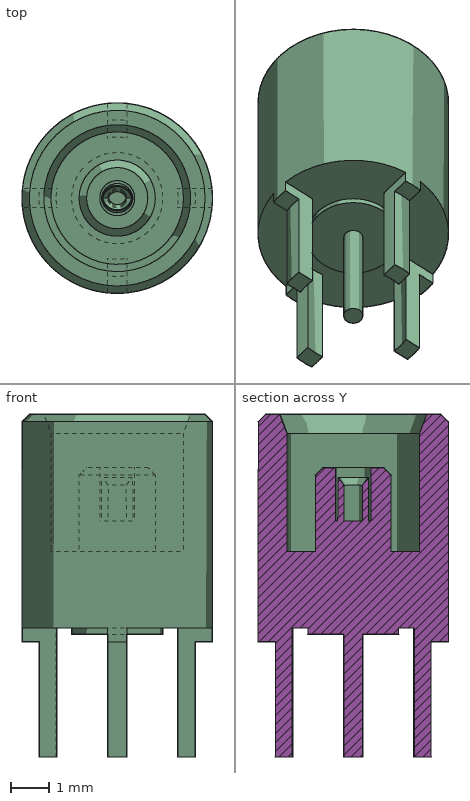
import cadquery as cq


TOTAL_HEIGHT = 9.0
SHELL_RADIUS = 2.5
SHELL_HEIGHT = 5.62
RIM_CHAMFER = 0.2
SHELL_BOTTOM = TOTAL_HEIGHT - SHELL_HEIGHT

ENTRY_RADIUS = 1.93
ENTRY_DEPTH = 0.5
BORE_RADIUS = 1.74
BORE_DEPTH = 3.6
BORE_FLOOR = TOTAL_HEIGHT - BORE_DEPTH

INSULATOR_RADIUS = 1.2
INSULATOR_DROP = 0.16

POST_RADIUS = 1.0
POST_CHAMFER = 0.2
POST_RECESS = 1.4
POST_TOP = TOTAL_HEIGHT - POST_RECESS
POST_HOLE_RADIUS = 0.46
POST_HOLE_DEPTH = 1.395
POST_HOLE_FLOOR = POST_TOP - POST_HOLE_DEPTH

CONTACT_RADIUS = 0.41
CONTACT_BORE_RADIUS = 0.24
CONTACT_MOUTH_RADIUS = 0.39
CONTACT_MOUTH_DEPTH = 0.2
CONTACT_RECESS = 0.27
CONTACT_LEAN = 2.6
CONTACT_LENGTH = 1.8
CONTACT_TIP = POST_TOP - CONTACT_RECESS
CONTACT_PIVOT = CONTACT_TIP - CONTACT_LENGTH

PIN_RADIUS = 0.25
LEG_WIDTH = 0.5
LEG_INNER_RADIUS = 1.6
LEG_OUTER_RADIUS = 2.05
FOOT_HEIGHT = 0.36


def cylinder(radius, bottom, top):
    return cq.Workplane("XY").workplane(offset=bottom).circle(radius).extrude(top - bottom)


def ring(inner_radius, outer_radius, bottom, top):
    outline = cq.Workplane("XY").workplane(offset=bottom).circle(outer_radius).circle(inner_radius)
    return outline.extrude(top - bottom)


def make_shell():
    shell = cylinder(SHELL_RADIUS, SHELL_BOTTOM, TOTAL_HEIGHT).faces(">Z").edges().chamfer(RIM_CHAMFER)
    bore = (
        cq.Workplane("XZ")
        .moveTo(0, BORE_FLOOR)
        .lineTo(BORE_RADIUS, BORE_FLOOR)
        .lineTo(BORE_RADIUS, TOTAL_HEIGHT - ENTRY_DEPTH)
        .lineTo(ENTRY_RADIUS, TOTAL_HEIGHT)
        .lineTo(0, TOTAL_HEIGHT)
        .close()
        .revolve()
    )
    return shell.cut(bore)


def make_post():
    post = cylinder(POST_RADIUS, BORE_FLOOR, POST_TOP).faces(">Z").edges().chamfer(POST_CHAMFER)
    return post.cut(cylinder(POST_HOLE_RADIUS, POST_HOLE_FLOOR, POST_TOP))


def make_contact():
    tube = (
        cq.Workplane("XZ")
        .moveTo(CONTACT_BORE_RADIUS, CONTACT_PIVOT)
        .lineTo(CONTACT_RADIUS, CONTACT_PIVOT)
        .lineTo(CONTACT_RADIUS, CONTACT_TIP)
        .lineTo(CONTACT_MOUTH_RADIUS, CONTACT_TIP)
        .lineTo(CONTACT_BORE_RADIUS, CONTACT_TIP - CONTACT_MOUTH_DEPTH)
        .close()
        .revolve()
    )
    leaning = tube.rotate((0, 0, CONTACT_PIVOT), (1, 0, CONTACT_PIVOT), CONTACT_LEAN)
    half_space = (
        cq.Workplane("XY")
        .workplane(offset=POST_HOLE_FLOOR)
        .box(SHELL_RADIUS, SHELL_RADIUS, CONTACT_LENGTH, centered=(True, False, False))
    )
    tine = leaning.intersect(half_space)
    return tine.union(tine.mirror("XZ"))


def make_legs():
    feet = ring(LEG_INNER_RADIUS, SHELL_RADIUS, SHELL_BOTTOM - FOOT_HEIGHT, SHELL_BOTTOM)
    blades = ring(LEG_INNER_RADIUS, LEG_OUTER_RADIUS, 0, SHELL_BOTTOM)
    bar_length = 2 * SHELL_RADIUS + LEG_WIDTH
    cross = cq.Workplane("XY").rect(bar_length, LEG_WIDTH).extrude(SHELL_BOTTOM)
    cross = cross.union(cq.Workplane("XY").rect(LEG_WIDTH, bar_length).extrude(SHELL_BOTTOM))
    return feet.union(blades).intersect(cross)


result = make_shell().union(make_post()).union(make_contact())
result = result.union(cylinder(INSULATOR_RADIUS, SHELL_BOTTOM - INSULATOR_DROP, SHELL_BOTTOM))
result = result.union(cylinder(PIN_RADIUS, 0, SHELL_BOTTOM))
result = result.union(make_legs())